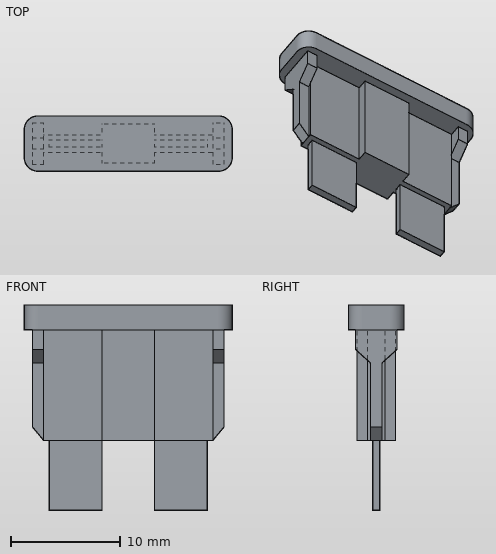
import cadquery as cq


cap_length = 19.05
cap_width = 5.09
cap_height = 2.29
cap_corner_radius = 1.28

total_height = 18.8
body_bottom = -12.42
side_length = 15.47
side_width = 1.6
middle_length = 4.8
middle_width = 3.55
blade_length = 4.84
blade_thickness = 0.65

ribs_length = 17.53
rib_width = 1.03
rib_bottom_chamfer_height = 1.24
shoulder_width = 3.81
shoulder_height = 1.8
flare_height = 1.25

body_height = -cap_height - body_bottom
blade_height = total_height + body_bottom


def block(length, width, height, top, x_centre=0.0):
    """Block centred on Y, hanging down from the given top level."""
    return (
        cq.Workplane("XY", origin=(x_centre, 0, top))
        .rect(length, width)
        .extrude(-height)
    )


def end_ribs():
    """Y-shaped profile run along the length, with the lower end corners cut off."""
    shoulder_bottom = -cap_height - shoulder_height
    flare_bottom = shoulder_bottom - flare_height
    half_profile = [
        (0, -cap_height),
        (shoulder_width / 2, -cap_height),
        (shoulder_width / 2, shoulder_bottom),
        (rib_width / 2, flare_bottom),
        (rib_width / 2, body_bottom),
        (0, body_bottom),
    ]
    rib_depth = (ribs_length - side_length) / 2
    chamfer_cutter = (
        cq.Workplane("XZ")
        .moveTo(ribs_length / 2, body_bottom)
        .lineTo(side_length / 2, body_bottom)
        .lineTo(ribs_length / 2, body_bottom + rib_bottom_chamfer_height)
        .close()
        .extrude(rib_width, both=True)
    )
    right_rib = (
        cq.Workplane("YZ", origin=(side_length / 2, 0, 0))
        .polyline(half_profile)
        .mirrorY()
        .extrude(rib_depth)
        .cut(chamfer_cutter)
    )
    return right_rib.union(right_rib.mirror("YZ"))


cap = (
    block(cap_length, cap_width, cap_height, 0)
    .edges("|Z")
    .fillet(cap_corner_radius)
)
side_sections = block(side_length, side_width, body_height, -cap_height)
middle_section = block(middle_length, middle_width, body_height, -cap_height)

result = cap.union(side_sections).union(middle_section).union(end_ribs())

blade_centre = (middle_length + blade_length) / 2
for side in (-1, 1):
    blade = block(blade_length, blade_thickness, blade_height, body_bottom, side * blade_centre)
    result = result.union(blade)